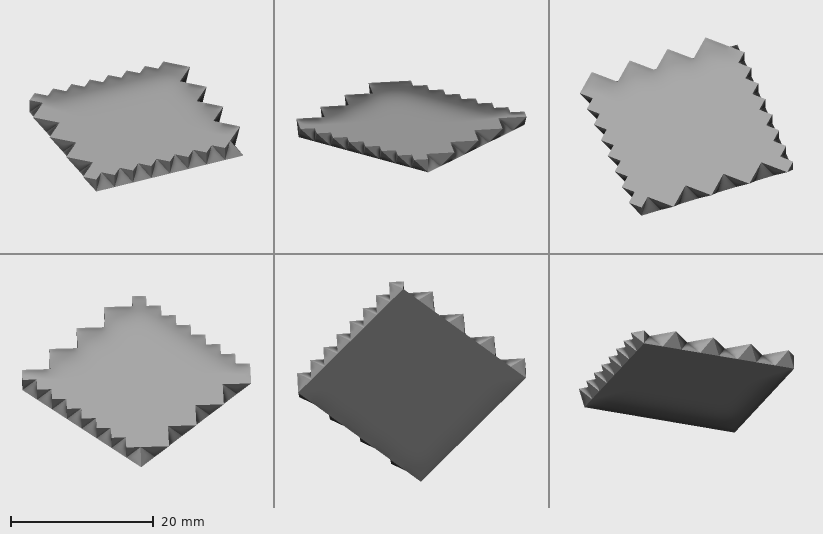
import cadquery as cq
import math

LENGTH_Y = 25.45
CELLS = 8
PITCH = LENGTH_Y / (CELLS + 1)
REACH = PITCH / 2
HEIGHT = PITCH / math.sqrt(2)
SIDE = CELLS * PITCH


def wall_pyramid(start, end, direction, reach):
    """Pyramid on the wall rectangle from start to end, apex level with the top face.

    The apex lies at the given reach along the direction, backward if the reach is negative.
    """
    middle_x = (start[0] + end[0]) / 2
    middle_y = (start[1] + end[1]) / 2
    apex = cq.Vector(middle_x + reach * direction[0], middle_y + reach * direction[1], HEIGHT)
    base = [
        cq.Vector(start[0], start[1], 0),
        cq.Vector(end[0], end[1], 0),
        cq.Vector(end[0], end[1], HEIGHT),
        cq.Vector(start[0], start[1], HEIGHT),
    ]
    outlines = [base]
    for i in range(len(base)):
        outlines.append([base[i - 1], base[i], apex])
    faces = [cq.Face.makeFromWires(cq.Wire.makePolygon(points, close=True)) for points in outlines]
    return cq.Workplane(cq.Solid.makeSolid(cq.Shell.makeShell(faces)))


def pyramid_on_x_wall(x, cell, reach):
    """Wall pyramid on the wall at x, with positive reach toward +X."""
    start_y = cell * PITCH
    return wall_pyramid((x, start_y), (x, start_y + PITCH), (1, 0), reach)


def pyramid_on_y_wall(y, cell, reach):
    """Wall pyramid on the wall at y, with positive reach toward +Y."""
    start_x = cell * PITCH
    return wall_pyramid((start_x, y), (start_x + PITCH, y), (0, 1), reach)


result = cq.Workplane("XY").box(SIDE, SIDE, HEIGHT, centered=False)

for cell in range(CELLS):
    result = result.union(pyramid_on_x_wall(0, cell, -REACH))
    result = result.cut(pyramid_on_x_wall(SIDE, cell, -REACH))

    if cell % 2 == 0:
        result = result.cut(pyramid_on_y_wall(0, cell, REACH))
        result = result.union(pyramid_on_y_wall(SIDE, cell, REACH))
    else:
        result = result.union(pyramid_on_y_wall(0, cell, -REACH))
        result = result.cut(pyramid_on_y_wall(SIDE, cell, -REACH))

result = result.solids()